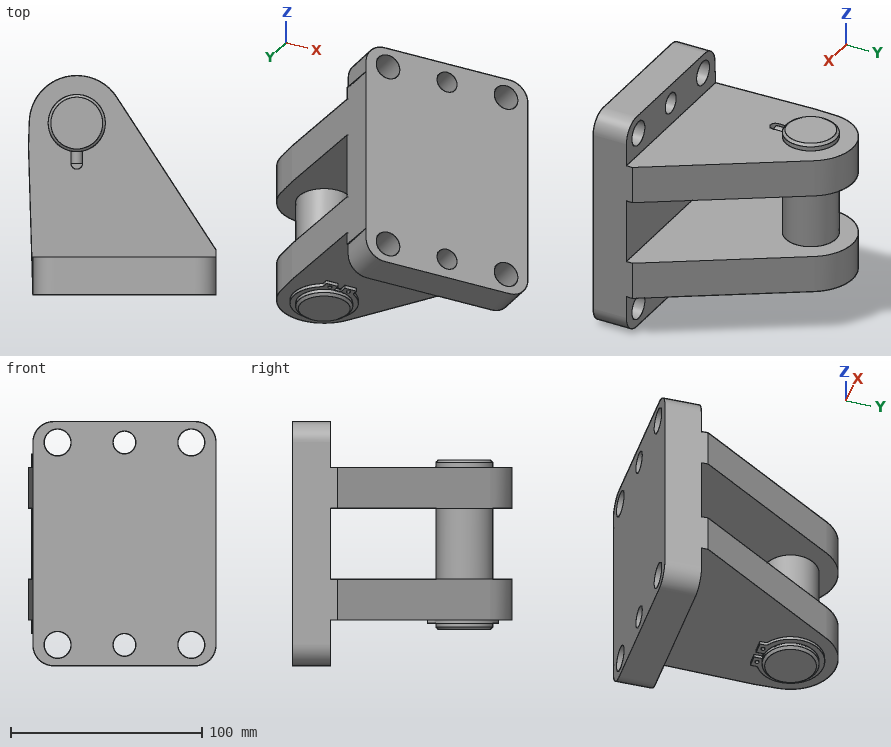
import cadquery as cq
import math

plate_width = 96.0
plate_height = 128.0
plate_thickness = 20.0
plate_corner_radius = 11.0
hole_spacing_x = 70.0
hole_spacing_z = 106.0
corner_hole_diameter = 14.0
middle_hole_diameter = 11.8

lug_radius = 25.0
lug_overhang = 2.3
lug_gap = 37.0
lug_outer_height = 80.0
lug_thickness = (lug_outer_height - lug_gap) / 2
lug_bottom = -lug_outer_height / 2
lug_top = lug_outer_height / 2
lug_widest_y = 77.7
lug_right_shoulder_y = 23.5
taper_strip_height = 93.8

pin_x = 23.0
pin_y = 90.0
pin_diameter = 30.0
pin_top = 43.9
pin_bottom = -45.0
pin_chamfer = 1.4

stud_diameter = 6.0
stud_reach = 21.1
stud_axis_depth = stud_diameter / 2
slot_depth = stud_diameter

groove_diameter = 28.5
ring_outer_radius = 17.9
ring_thickness = 1.8
ring_bottom = lug_bottom - ring_thickness
ring_gap = 4.0
ear_width = 17.9
ear_reach = 19.3
ear_corner_radius = 0.5
ear_root_radius = 1.7
ear_hole_diameter = 2.0
ear_hole_reach = 16.6
ear_hole_spacing = 11.0


def cylinder_on_pin_axis(diameter, bottom, top):
    return (cq.Workplane("XY", origin=(pin_x, pin_y, bottom))
            .circle(diameter / 2).extrude(top - bottom))


def make_plate():
    """Rounded plate with a thin tapered strip along its left side."""
    plate = (cq.Workplane("XY")
             .box(plate_width, plate_thickness, plate_height, centered=(False, False, True))
             .edges("|Y").fillet(plate_corner_radius))
    strip_overhang = lug_overhang * plate_thickness / lug_widest_y
    strip = (cq.Workplane("XY", origin=(0, 0, -taper_strip_height / 2))
             .moveTo(0, 0)
             .lineTo(-strip_overhang, plate_thickness)
             .lineTo(plate_corner_radius, plate_thickness)
             .lineTo(plate_corner_radius, 0)
             .close().extrude(taper_strip_height))
    return plate.union(strip)


def make_lug(bottom):
    """Round-nosed lug whose right edge is tangent to the nose."""
    shoulder_dx = plate_width - pin_x
    shoulder_dy = lug_right_shoulder_y - pin_y
    shoulder_distance = math.hypot(shoulder_dx, shoulder_dy)
    tangent_angle = math.atan2(shoulder_dy, shoulder_dx) + math.acos(lug_radius / shoulder_distance)
    tangent_point = (pin_x + lug_radius * math.cos(tangent_angle),
                     pin_y + lug_radius * math.sin(tangent_angle))
    return (cq.Workplane("XY", origin=(0, 0, bottom))
            .moveTo(0, 0)
            .lineTo(-lug_overhang, lug_widest_y)
            .lineTo(pin_x - lug_radius, pin_y)
            .threePointArc((pin_x, pin_y + lug_radius), tangent_point)
            .lineTo(plate_width, lug_right_shoulder_y)
            .lineTo(plate_width, 0)
            .close().extrude(lug_thickness))


def make_mounting_holes():
    """Three holes across the plate near its top and three near its bottom."""
    hole_rows = [(-hole_spacing_x / 2, corner_hole_diameter),
                 (0, middle_hole_diameter),
                 (hole_spacing_x / 2, corner_hole_diameter)]
    holes = cq.Workplane("XZ")
    for offset_x, diameter in hole_rows:
        for offset_z in (-hole_spacing_z / 2, hole_spacing_z / 2):
            hole = (cq.Workplane("XZ", origin=(plate_width / 2 + offset_x, 0, offset_z))
                    .circle(diameter / 2).extrude(-plate_thickness))
            holes = holes.add(hole)
    return holes.combine()


def make_stud_slot():
    """Round-ended slot running from the pin hole toward the plate."""
    slot_bottom = lug_top - slot_depth
    straight = (cq.Workplane("XY", origin=(pin_x, pin_y - stud_reach / 2, slot_bottom))
                .rect(stud_diameter, stud_reach).extrude(slot_depth))
    round_end = (cq.Workplane("XY", origin=(pin_x, pin_y - stud_reach, slot_bottom))
                 .circle(stud_diameter / 2).extrude(slot_depth))
    return straight.union(round_end)


def make_bracket():
    bracket = make_plate()
    for bottom in (lug_bottom, lug_gap / 2):
        bracket = bracket.union(make_lug(bottom))
    return (bracket
            .cut(make_mounting_holes())
            .cut(cylinder_on_pin_axis(pin_diameter, lug_bottom, lug_top))
            .cut(make_stud_slot()))


def make_pin():
    """Chamfered pin with a ring groove and an anti-rotation stud."""
    pin = cylinder_on_pin_axis(pin_diameter, pin_bottom, pin_top).faces("<Z or >Z").chamfer(pin_chamfer)
    groove = (cylinder_on_pin_axis(pin_diameter, ring_bottom, lug_bottom)
              .cut(cylinder_on_pin_axis(groove_diameter, ring_bottom, lug_bottom)))
    stud = (cq.Workplane("XZ", origin=(pin_x, pin_y, lug_top - stud_axis_depth))
            .circle(stud_diameter / 2).extrude(stud_reach))
    return pin.cut(groove).union(stud)


def make_retaining_ring():
    """Open ring with two ears, one on each side of the gap."""
    disc = cylinder_on_pin_axis(2 * ring_outer_radius, ring_bottom, lug_bottom)
    ears = (cq.Workplane("XY", origin=(pin_x, pin_y - ear_reach / 2, ring_bottom))
            .rect(ear_width, ear_reach).extrude(ring_thickness)
            .edges("|Z and <Y").fillet(ear_corner_radius))
    ear_root_y = pin_y - math.sqrt(ring_outer_radius ** 2 - (ear_width / 2) ** 2)
    ear_roots = cq.selectors.BoxSelector(
        (pin_x - ear_width, ear_root_y - ear_corner_radius, ring_bottom - ring_thickness),
        (pin_x + ear_width, ear_root_y + ear_corner_radius, lug_bottom + ring_thickness))
    gap = (cq.Workplane("XY", origin=(pin_x, pin_y - ear_reach / 2, ring_bottom))
           .rect(ring_gap, ear_reach).extrude(ring_thickness))
    ear_holes = (cq.Workplane("XY", origin=(pin_x, pin_y - ear_hole_reach, ring_bottom))
                 .pushPoints([(-ear_hole_spacing / 2, 0), (ear_hole_spacing / 2, 0)])
                 .circle(ear_hole_diameter / 2).extrude(ring_thickness))
    return (disc.union(ears)
            .edges("|Z").edges(ear_roots).fillet(ear_root_radius)
            .cut(cylinder_on_pin_axis(groove_diameter, ring_bottom, lug_bottom))
            .cut(gap)
            .cut(ear_holes))


bracket = make_bracket()
pin = make_pin()
retaining_ring = make_retaining_ring()

result = cq.Compound.makeCompound([bracket.val(), pin.val(), retaining_ring.val()])